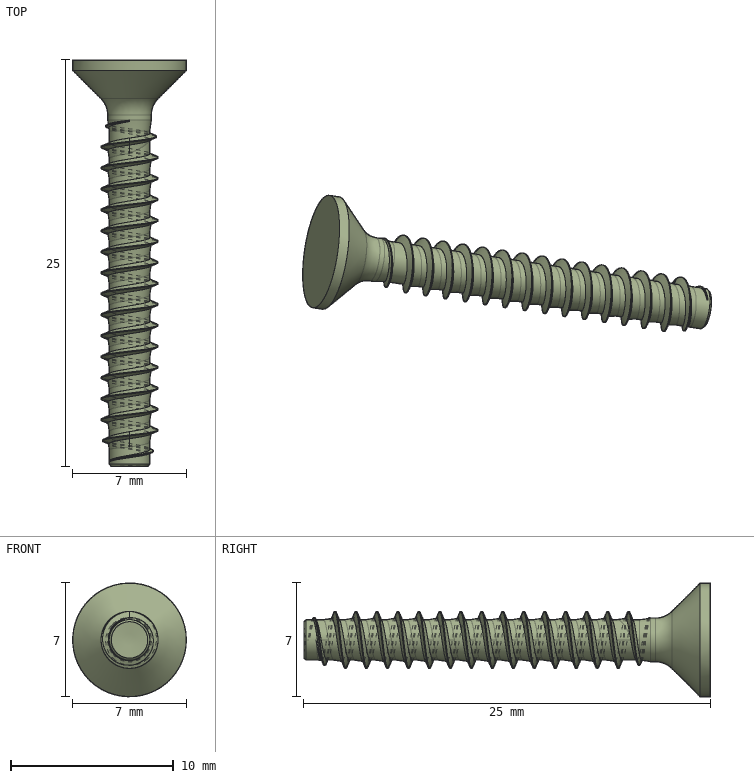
import cadquery as cq
import math


length = 25.0
head_radius = 3.5
rim_height = 0.63
cone_angle = math.radians(45)
neck_radius = 1.35
neck_fillet = 1.4
neck_end = 3.67

core_radius = 1.25
core_start = 4.35

tip_radius = 1.12
tip_chamfer_height = 0.15
tip_dish_depth = 0.08

thread_radius = 1.75
pitch = 1.29
crest_half_width = 0.03
flank_half_width = 0.20
flank_foot_radius = 1.33
ramp_end = 0.85
ramp_end_radius = 1.23
root_radius = 1.10

thread_start = 3.73
start_angle = 90
lead_in_turns = 1.0
full_turns = 14
run_out_turns = 1.25
ramp_run_out_turns = 0.75
fade_per_turn = 0.38


def make_body():
    """Head, filleted neck, plain core and dished tip as one revolved outline."""
    fillet_drop = neck_fillet * (1 - math.cos(cone_angle))
    cone_end_radius = neck_radius + fillet_drop
    cone_end = rim_height + (head_radius - cone_end_radius) / math.tan(cone_angle)
    fillet_end = cone_end + neck_fillet * math.sin(cone_angle)
    half_angle = cone_angle / 2
    fillet_middle = (
        neck_radius + neck_fillet * (1 - math.cos(half_angle)),
        fillet_end - neck_fillet * math.sin(half_angle),
    )
    return (
        cq.Workplane("XZ")
        .lineTo(head_radius, 0)
        .lineTo(head_radius, rim_height)
        .lineTo(cone_end_radius, cone_end)
        .threePointArc(fillet_middle, (neck_radius, fillet_end))
        .lineTo(neck_radius, neck_end)
        .lineTo(core_radius, core_start)
        .lineTo(core_radius, length - tip_chamfer_height)
        .lineTo(tip_radius, length)
        .lineTo(0, length - tip_dish_depth)
        .close()
        .revolve(360, (0, 0, 0), (0, 1, 0))
    )


def thread_path(start_radius, turns, rise_per_turn):
    """Helix from depth 0; a rising one lies on a cone, where lengths run along the slope."""
    if rise_per_turn == 0:
        return cq.Workplane(cq.Wire.makeHelix(pitch, turns * pitch, start_radius))
    taper = math.atan2(rise_per_turn, pitch)
    slope_pitch = pitch / math.cos(taper)
    slope_length = turns * slope_pitch
    helix = cq.Wire.makeHelix(slope_pitch, slope_length, start_radius, angle=math.degrees(taper))
    return cq.Workplane(helix)


def ramp_profile():
    """Low ramp on the tip side of the thread, as (radius, offset) points from its foot inwards."""
    return [
        (flank_foot_radius, flank_half_width),
        (ramp_end_radius, ramp_end),
        (root_radius, ramp_end),
    ]


def thread_profile():
    """Pointed thread ridge with the ramp behind it; its root is buried in the core."""
    flank_slope = (flank_half_width - crest_half_width) / (thread_radius - flank_foot_radius)
    root_half_width = crest_half_width + flank_slope * (thread_radius - root_radius)
    ridge = [
        (root_radius, -root_half_width),
        (thread_radius, -crest_half_width),
        (thread_radius, crest_half_width),
    ]
    return ridge + ramp_profile()


def thread_section(profile, turns, rise_per_turn=0):
    """Sweep a profile from depth 0 so that it ends at its full radius."""
    sink = rise_per_turn * turns
    outline = [(radius - sink, offset) for radius, offset in profile]
    path = thread_path(thread_radius - sink, turns, rise_per_turn)
    return cq.Workplane("XZ").polyline(outline).close().sweep(path, isFrenet=True)


def run_out_section(profile, turns, fall_per_turn):
    """Falling section that ends at depth 0: a rising one turned end for end stays right-handed."""
    turned_profile = [(radius, -offset) for radius, offset in profile]
    rising = thread_section(turned_profile, turns, fall_per_turn)
    return rising.rotate((0, 0, 0), (1, 0, 0), 180)


def place_section(section, turns_before):
    """Move a thread section along the helix by the given number of turns."""
    angle = start_angle + 360 * turns_before
    depth = thread_start + pitch * turns_before
    return section.rotate((0, 0, 0), (0, 0, 1), angle).translate((0, 0, depth))


def make_thread_sections():
    """Lead-in, full thread and run-out of the ridge, and the run-out of the ramp."""
    lead_in = thread_section(thread_profile(), lead_in_turns, fade_per_turn)
    full_thread = thread_section(thread_profile(), full_turns)
    ridge_run_out = run_out_section(thread_profile(), run_out_turns, fade_per_turn)

    ramp = ramp_profile() + [(root_radius, flank_half_width)]
    ramp_fall_per_turn = (flank_foot_radius - core_radius) / ramp_run_out_turns
    ramp_run_out = run_out_section(ramp, ramp_run_out_turns, ramp_fall_per_turn)

    full_thread_end = lead_in_turns + full_turns
    envelope = cq.Workplane("XY").circle(head_radius).extrude(length - tip_chamfer_height)
    return [
        place_section(lead_in, 0),
        place_section(full_thread, lead_in_turns),
        place_section(ridge_run_out, full_thread_end + run_out_turns).intersect(envelope),
        place_section(ramp_run_out, full_thread_end + ramp_run_out_turns).intersect(envelope),
    ]


screw = make_body()
for thread in make_thread_sections():
    screw = screw.union(thread)

result = screw.rotate((0, 0, 0), (1, 0, 0), 90)